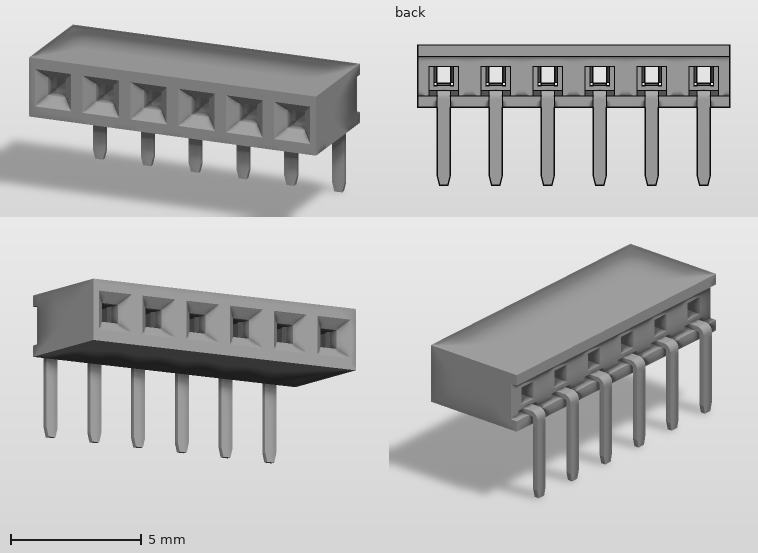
import cadquery as cq
import math

contact_count = 6
length = 12.0
pitch = length / contact_count

housing_depth = 4.3
housing_height = 2.4
mid_height = housing_height / 2
mouth_size = 1.51
entry_size = 0.73
funnel_depth = 0.38
entry_end = 0.62
recess_depth = 0.29
recess_wall = housing_depth - recess_depth

sheet = 0.2
lead_width = 0.5
lead_overhang = 0.41
lead_drop = 3.0
tip_width = 0.32
tip_length = 0.36
inner_bend = 0.11
outer_bend = inner_bend + sheet
lead_bottom = mid_height - mouth_size / 2
lead_top = lead_bottom + sheet
lead_back = housing_depth + lead_overhang

channel_length = recess_wall - entry_end
channel_width = entry_size + 2 * sheet
entry_top = mid_height + entry_size / 2

ridge_front = 0.84
ridge_run = 0.17
ridge_gap = 0.26
ridge_root = (entry_size / 2 + channel_width / 2) / 2
ridge_back = ridge_front + 2 * ridge_run


def channel_block(width, bottom):
    """Block of the given width behind the entry hole, from bottom up to the top of the entry hole."""
    return (
        cq.Workplane("XY", origin=(0, entry_end, bottom))
        .box(width, channel_length, entry_top - bottom, centered=(True, False, False))
    )


def socket_cutter(x):
    """Funnel, straight entry hole and rear cavity of one socket."""
    funnel = (
        cq.Workplane("XZ", origin=(0, 0, mid_height))
        .rect(mouth_size, mouth_size)
        .workplane(offset=-funnel_depth)
        .rect(entry_size, entry_size)
        .loft(ruled=True)
    )
    entry = (
        cq.Workplane("XZ", origin=(0, funnel_depth, mid_height))
        .rect(entry_size, entry_size)
        .extrude(funnel_depth - entry_end)
    )
    cavity = channel_block(channel_width, lead_bottom)
    return funnel.union(entry).union(cavity).translate((x, 0, 0))


def make_housing(socket_positions):
    """Block with a full-length recess along its back and a row of sockets."""
    block = cq.Workplane("XY").box(
        length, housing_depth, housing_height, centered=(True, False, False)
    )
    recess = (
        cq.Workplane("XY")
        .box(length, recess_depth, mouth_size)
        .translate((0, recess_wall + recess_depth / 2, mid_height))
    )
    housing = block.cut(recess)
    for x in socket_positions:
        housing = housing.cut(socket_cutter(x))
    return housing


def ridge(plane, width):
    """Ridge pointing at the socket axis; local axes are depth and gap from the axis."""
    wall_gap = entry_size / 2
    return (
        cq.Workplane(plane)
        .moveTo(ridge_front, ridge_root)
        .lineTo(ridge_front, wall_gap)
        .lineTo(ridge_front + ridge_run, ridge_gap)
        .lineTo(ridge_back, wall_gap)
        .lineTo(ridge_back, ridge_root)
        .close()
        .extrude(width)
    )


def make_channel():
    """Open-topped U channel with a ridge on its floor and on each side wall."""
    half_width = lead_width / 2
    floor_z = mid_height - entry_size / 2
    channel = channel_block(channel_width, lead_top).cut(channel_block(entry_size, floor_z))

    floor_plane = cq.Plane(origin=(half_width, 0, mid_height), xDir=(0, 1, 0), normal=(-1, 0, 0))
    floor_ridge = ridge(floor_plane, lead_width)

    side_bottom = mid_height - half_width
    side_plane = cq.Plane(origin=(0, 0, side_bottom), xDir=(0, 1, 0), normal=(0, 0, 1))
    left_ridge = ridge(side_plane, entry_top - side_bottom)
    right_ridge = left_ridge.mirror("YZ")
    return channel.union(floor_ridge).union(left_ridge).union(right_ridge)


def make_lead():
    """Strip running under the channel floor, then bent downwards and tapered at its tip."""
    bend_y = lead_back - outer_bend
    bend_z = lead_top - outer_bend
    diagonal = math.sqrt(0.5)
    strip = (
        cq.Workplane("YZ", origin=(-lead_width / 2, 0, 0))
        .moveTo(entry_end, lead_bottom)
        .lineTo(entry_end, lead_top)
        .lineTo(bend_y, lead_top)
        .threePointArc(
            (bend_y + outer_bend * diagonal, bend_z + outer_bend * diagonal),
            (lead_back, bend_z),
        )
        .lineTo(lead_back, -lead_drop)
        .lineTo(lead_back - sheet, -lead_drop)
        .lineTo(lead_back - sheet, bend_z)
        .threePointArc(
            (bend_y + inner_bend * diagonal, bend_z + inner_bend * diagonal),
            (bend_y, lead_bottom),
        )
        .close()
        .extrude(lead_width)
    )
    front_outline = (
        cq.Workplane("XZ", origin=(0, entry_end, 0))
        .moveTo(-tip_width / 2, -lead_drop)
        .lineTo(tip_width / 2, -lead_drop)
        .lineTo(lead_width / 2, tip_length - lead_drop)
        .lineTo(lead_width / 2, housing_height)
        .lineTo(-lead_width / 2, housing_height)
        .lineTo(-lead_width / 2, tip_length - lead_drop)
        .close()
        .extrude(entry_end - lead_back)
    )
    return strip.intersect(front_outline)


def make_contact(x):
    """Channel and lead of one contact, as a single solid."""
    return make_channel().union(make_lead()).translate((x, 0, 0))


positions = [(i - (contact_count - 1) / 2) * pitch for i in range(contact_count)]
housing = make_housing(positions)
contacts = [make_contact(x) for x in positions]

result = cq.Compound.makeCompound([housing.val(), *[contact.val() for contact in contacts]])